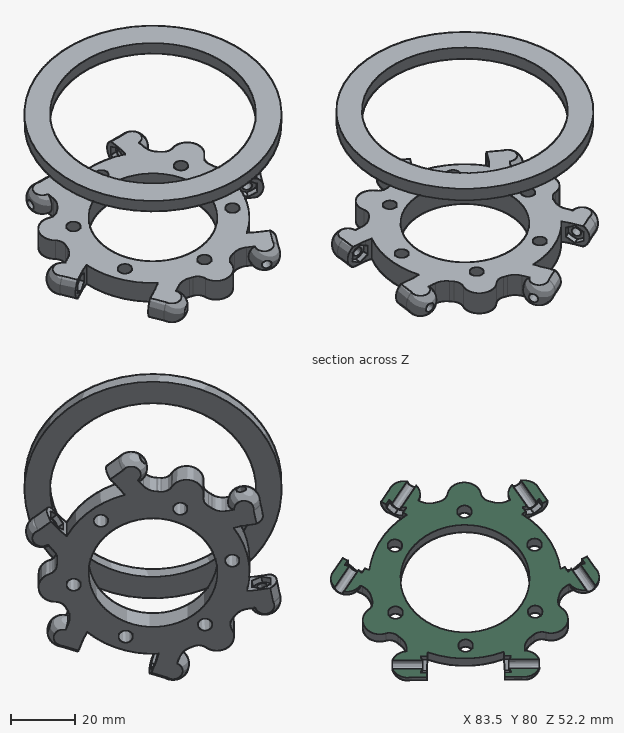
import cadquery as cq
import math

position_tolerance = 0.01

ring_outer_diameter = 80.0
ring_inner_diameter = 64.0
ring_thickness = 4.5
overall_height = 52.2

hub_thickness = 8.0
hub_radius = 30.0
bore_diameter = 40.0
arm_count = 3
arm_angles = [i * 360 / arm_count for i in range(arm_count)]

mount_hole_count = 6
mount_hole_diameter = 4.4
mount_circle_radius = 25.1

lobe_radius = 5.35
lobe_center_distance = 30.75
lobe_fillet = 3.6
lobe_angles = [90 + angle for angle in arm_angles]

joint_axis_distance = 32.0
joint_axis_height = hub_thickness / 2
ball_radius = 5.0
barrel_radius = 4.9
ball_center_offset = 18.1
boss_inner_face = 12.0
neck_outer_face = 18.4
neck_fillet = 5.7
window_root_half_width = 11.8

screw_hole_diameter = 3.1
nut_across_flats = 5.9
nut_across_corners = nut_across_flats / math.cos(math.pi / 6)
nut_pocket_depth = 2.2
nut_seat_rise = 0.8


def at_arms(shape):
    """Copies of a shape for all three joint pairs, turned about the Z axis."""
    return [shape.rotate((0, 0, 0), (0, 0, 1), angle) for angle in arm_angles]


def at_bosses(shape):
    """Copies of a +X side shape for both sides of all three joint pairs."""
    return at_arms(shape) + at_arms(shape.mirror("YZ"))


def along_joint_axis(offset):
    """Sketch plane across the -Y joint axis, facing +X."""
    return cq.Workplane("YZ", origin=(offset, -joint_axis_distance, joint_axis_height))


def is_on_hub_rim(edge):
    """True for an upright edge on the rim of the round hub."""
    center = edge.Center()
    return abs(math.hypot(center.x, center.y) - hub_radius) < position_tolerance


def is_on_lobe_rim(edge):
    """True for an upright edge on the rim of one of the lobes."""
    center = edge.Center()
    distances = [
        math.hypot(
            center.x - lobe_center_distance * math.cos(math.radians(angle)),
            center.y - lobe_center_distance * math.sin(math.radians(angle)),
        )
        for angle in lobe_angles
    ]
    return abs(min(distances) - lobe_radius) < position_tolerance


def make_plate():
    """Hub disc with joint necks and lobes, blended where they leave the disc."""
    neck = cq.Workplane("XY", origin=(0, -joint_axis_distance, 0)).box(
        2 * neck_outer_face, joint_axis_distance, hub_thickness, centered=(True, False, False)
    )
    lobe = cq.Workplane("XY").center(0, lobe_center_distance).circle(lobe_radius).extrude(hub_thickness)

    plate = cq.Workplane("XY").circle(hub_radius).extrude(hub_thickness)
    for neck_copy in at_arms(neck):
        plate = plate.union(neck_copy)
    plate = plate.edges("|Z").filter(is_on_hub_rim).fillet(neck_fillet)

    for lobe_copy in at_arms(lobe):
        plate = plate.union(lobe_copy)
    return plate.edges("|Z").filter(is_on_hub_rim).filter(is_on_lobe_rim).fillet(lobe_fillet)


def make_window():
    """Gap between the two bosses of the -Y pair, ending at the round hub wall."""
    outer_y = -joint_axis_distance - 2 * ball_radius
    root_y = -math.sqrt(hub_radius**2 - window_root_half_width**2)
    return (
        cq.Workplane("XY")
        .moveTo(-window_root_half_width, root_y)
        .lineTo(-boss_inner_face, -hub_radius)
        .lineTo(-boss_inner_face, outer_y)
        .lineTo(boss_inner_face, outer_y)
        .lineTo(boss_inner_face, -hub_radius)
        .lineTo(window_root_half_width, root_y)
        .threePointArc((0, -hub_radius), (-window_root_half_width, root_y))
        .close()
        .extrude(hub_thickness)
    )


def make_boss():
    """Ball-ended boss on the +X side of the -Y pair, flat at the hub's top and bottom."""
    barrel_length = ball_center_offset - boss_inner_face
    barrel = along_joint_axis(boss_inner_face).circle(barrel_radius).extrude(barrel_length)
    ball = along_joint_axis(ball_center_offset).sphere(ball_radius)
    slab = cq.Workplane("XY").box(
        4 * ball_center_offset, 4 * joint_axis_distance, hub_thickness, centered=(True, True, False)
    )
    return barrel.union(ball).intersect(slab)


def make_joint_bore():
    """Screw hole through a boss, with a hexagonal nut pocket whose floor is a raised cone."""
    start = window_root_half_width
    pocket_floor = boss_inner_face + nut_pocket_depth
    pocket = (
        along_joint_axis(start)
        .transformed(rotate=(0, 0, 90))
        .polygon(6, nut_across_corners)
        .extrude(pocket_floor - start)
    )
    seat = cq.Workplane(
        cq.Solid.makeCone(
            nut_across_corners / 2,
            screw_hole_diameter / 2,
            nut_seat_rise,
            pnt=cq.Vector(pocket_floor, -joint_axis_distance, joint_axis_height),
            dir=cq.Vector(-1, 0, 0),
        )
    )
    hole_length = ball_center_offset + ball_radius - start
    hole = along_joint_axis(start).circle(screw_hole_diameter / 2).extrude(hole_length)
    return pocket.cut(seat).union(hole)


def make_hub():
    """Plate with windows, ball-ended bosses, screw holes and the central bore."""
    hub = make_plate()
    for window in at_arms(make_window()):
        hub = hub.cut(window)
    for boss in at_bosses(make_boss()):
        hub = hub.union(boss)
    for joint_bore in at_bosses(make_joint_bore()):
        hub = hub.cut(joint_bore)
    center_bore = cq.Workplane("XY").circle(bore_diameter / 2).extrude(hub_thickness)
    mount_holes = (
        cq.Workplane("XY")
        .polarArray(mount_circle_radius, 90, 360, mount_hole_count)
        .circle(mount_hole_diameter / 2)
        .extrude(hub_thickness)
    )
    return hub.cut(center_bore).cut(mount_holes)


def make_ring():
    """Plain flat ring held clear above the hub."""
    return (
        cq.Workplane("XY", origin=(0, 0, overall_height - ring_thickness))
        .circle(ring_outer_diameter / 2)
        .circle(ring_inner_diameter / 2)
        .extrude(ring_thickness)
    )


hub = make_hub()
ring = make_ring()
result = cq.Compound.makeCompound([hub.val(), ring.val()])